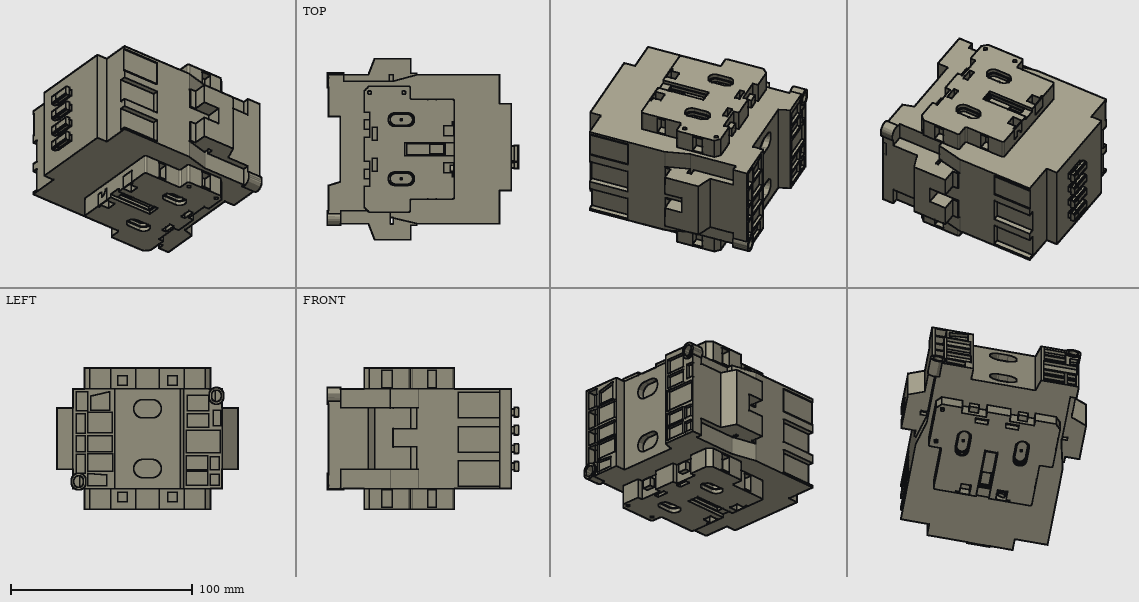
import cadquery as cq

MOUNT_X = 0.8
SHOULDER_X = 95.2
NOSE_X = 101.7
END_X = 105.9
HALF_WIDTH = 41.2
HALF_HEIGHT = 27.5
COVER_Z = 39.0
NOSE_Y = (-22.8, 25.2)

CHANNEL_X = 7.2
CHANNEL_HALF = 18.0
CHANNEL_SLOPED_Y = -20.0
RAIL_SLOT_LENGTH = 15.2
RAIL_SLOT_HEIGHT = 10.1
RAIL_SLOT_Z = 16.5
RAIL_SLOT_DEPTH = 4.0

WING_HALF_HEIGHT = 17.0
WING_Y = 50.0
WING_FOOT_X = 22.8
WING_START_X = 26.2
WING_END_X = 46.3
WING_STEP_X = 49.6
WING_STEP_Y = 42.0
WING_ROOT = 1.0
WING_NOTCH_X = 36.3
WING_NOTCH_Z = (-4.5, 5.5)
RAMP_END_X = 50.2
GUIDE_SLOT_END_X = 36.5
FRONT_GUIDE_X = 35.0
REAR_GUIDE_X = 34.2
REAR_GUIDE_DEPTH = 5.0
FRONT_ARM_START = 7.5
FRONT_ARM_Y = 34.0
FRONT_RAMP_Y = 37.6
REAR_ARM_START = 9.1
REAR_ARM_Y = 37.5

SLEEVE_Y = 38.0
SLEEVE_Z = 23.65
SLEEVE_SIZE = (9.3, 8.1)
SLEEVE_BORE_SIZE = (6.4, 5.2)
SLEEVE_BORE_DEPTH = 4.0
FRONT_BORE_OUTER_DEPTH = 2.5
REAR_BORE_OUTER_DEPTH = 8.0
BORE_BEND_Y = 37.5

COVER_START_X = 20.4
COVER_STEP_X = 45.9
COVER_END_X = 70.2
COVER_WIDE_HALF = 34.8
COVER_NARROW_HALF = 27.5
COVER_CHAMFER = 2.8
COVER_CORNER_RADIUS = 1.0
NOTCH_Y = (6.6, 20.4)
NOTCH_DEPTH = 3.1
TAB_Y = (11.1, 16.3)
TAB_Z = (29.6, 34.8)
SCREW_WINDOW_X = (25.0, 27.7)
SCREW_WINDOW_Y = (5.0, 12.1)
SCREW_WINDOW_DEPTH = 6.0
SIDE_WINDOW_Z = (28.2, 37.8)
SIDE_WINDOW_DEPTH = 5.0
WIDE_WINDOW_X = (30.3, 36.0)
NARROW_WINDOW_X = (55.7, 60.3)
PIN_HOLE_X = (23.5, 42.4)
PIN_HOLE_Y = 31.2
PIN_HOLE_DIAMETER = 2.0
PIN_HOLE_DEPTH = 3.0
DIMPLE_X = 41.0
DIMPLE_Y = 16.3
DIMPLE_SIZE = (14.5, 7.5)
DIMPLE_FLOOR_SIZE = (12.5, 6.0)
DIMPLE_LEDGE_DEPTH = 2.5
DIMPLE_FLOOR_DEPTH = 4.5
DIMPLE_HOLE_DIAMETER = 1.1
DIMPLE_HOLE_DEPTH = 6.5
TRACK_X = 42.9
TRACK_HALF = 3.6
TRACK_DEPTH = 2.0
SLIDER_X = (44.0, 65.2)
SLIDER_HALF = 3.1
SLIDER_DEPTH = 4.0
SLIDER_WELL_X = (56.8, 64.5)
SLIDER_WELL_HALF = 2.6
SLIDER_WELL_DEPTH = 6.0
TERMINAL_X = (64.4, 69.9)
TERMINAL_Y = (7.4, 13.0)
TERMINAL_DEPTH = 8.0
TERMINAL_GROOVE_X = 69.2
TERMINAL_GROOVE_Y = 15.2
CLAMP_X = (67.9, 69.9)
CLAMP_Y = -12.1
CLAMP_RADIUS = 3.3

SIDE_RECESS_X = 72.4
SIDE_RECESSES = [(11.6, 25.6, 0.6), (-7.4, 6.7, 3.2), (-26.3, -12.3, 3.2)]

PIN_LEVELS = [14.6, 4.7, -5.5, -15.3]
PIN_SHANK_HEIGHT = 3.8
PIN_HEAD_HEIGHT = 5.5
PIN_HEAD_LENGTH = 2.6
PIN_HEAD_CHAMFER = 0.7
PIN_HEAD_MARGIN = 0.3
PIN_SHANK_SPANS = [(-6.6, 1.8), (-10.4, -7.4)]

POCKET_DEPTH = 1.9
EDGE_POCKET_DEPTH = 4.8
EDGE_POCKETS = [(33.1, 39.3, 15.3, 26.0), (34.3, 39.3, 3.1, 13.8),
                (34.3, 39.3, -7.1, 1.7), (34.3, 39.3, -19.2, -8.5)]
SHALLOW_POCKETS = [(19.5, 32.9, 3.4, 14.6), (19.5, 32.9, -7.1, 1.7), (19.2, 32.9, -18.1, -8.2),
                   (-33.7, -21.8, 15.3, 24.0), (-33.7, -21.8, 6.2, 13.8),
                   (-40.5, -36.3, 7.0, 15.7), (-40.2, -21.5, -7.8, 4.7),
                   (-33.3, -21.5, -17.1, -9.4), (-33.3, -21.5, -25.8, -18.1),
                   (-39.7, -34.7, -17.1, -10.1), (-39.7, -34.7, -25.8, -19.6)]
SLANTED_POCKETS = [[(31.4, 23.5), (20.9, 25.9), (20.9, 15.6), (31.4, 15.6)],
                   [(32.9, -19.2), (22.5, -20.0), (22.5, -26.0), (32.9, -26.0)]]


def block(x_range, y_range, z_range):
    """Axis-aligned box from three (low, high) ranges."""
    size = [high - low for low, high in (x_range, y_range, z_range)]
    return cq.Workplane("XY").box(*size, centered=False).translate((x_range[0], y_range[0], z_range[0]))


def prism(points, z_range):
    """Polygon in XY extruded over a Z range."""
    outline = cq.Workplane("XY").workplane(offset=z_range[0]).polyline(points).close()
    return outline.extrude(z_range[1] - z_range[0])


def side_span(side, span):
    """A (low, high) range on the positive side, or its mirror image when side is -1."""
    return tuple(sorted((side * span[0], side * span[1])))


def end_plane(x):
    """Sketch plane facing +X whose local axes are Y and Z."""
    return cq.Workplane("YZ", origin=(x, 0, 0))


def sunk(depth):
    """Z range from a given depth up to the outer face of the upper cover."""
    return (COVER_Z - depth, COVER_Z)


def housing_body():
    outline = [
        (MOUNT_X, -HALF_WIDTH), (SHOULDER_X, -HALF_WIDTH),
        (SHOULDER_X, NOSE_Y[0]), (NOSE_X, NOSE_Y[0]),
        (NOSE_X, NOSE_Y[1]), (SHOULDER_X, NOSE_Y[1]),
        (SHOULDER_X, HALF_WIDTH), (MOUNT_X, HALF_WIDTH),
        (MOUNT_X, CHANNEL_HALF), (CHANNEL_X, CHANNEL_HALF),
        (CHANNEL_X, -CHANNEL_HALF), (MOUNT_X, CHANNEL_SLOPED_Y),
    ]
    return prism(outline, (-HALF_HEIGHT, HALF_HEIGHT))


def arm_recess(side, level, wall_points):
    """Set-back wall and ramp beside the wing; level is 1 above the wing and -1 below it."""
    outline = [(wall_points[0][0], HALF_WIDTH), *wall_points, (RAMP_END_X, HALF_WIDTH)]
    outline = [(x, side * y) for x, y in outline]
    return prism(outline, side_span(level, (WING_HALF_HEIGHT, HALF_HEIGHT)))


def arm_recesses():
    """The upper front recess has a step deeper than its ramp; the other three are plain."""
    upper_front = [
        (FRONT_ARM_START, FRONT_ARM_Y), (FRONT_GUIDE_X, FRONT_ARM_Y), (FRONT_GUIDE_X, FRONT_RAMP_Y)]
    lower_front = [(FRONT_ARM_START, FRONT_RAMP_Y), (FRONT_GUIDE_X, FRONT_RAMP_Y)]
    rear = [(REAR_ARM_START, REAR_ARM_Y), (GUIDE_SLOT_END_X, REAR_ARM_Y)]
    recesses = arm_recess(-1, 1, upper_front).union(arm_recess(-1, -1, lower_front))
    return recesses.union(arm_recess(1, 1, rear)).union(arm_recess(1, -1, rear))


def wing(side):
    root_y = HALF_WIDTH - WING_ROOT
    outline = [
        (WING_FOOT_X, HALF_WIDTH), (WING_START_X, WING_Y), (WING_END_X, WING_Y),
        (WING_END_X, WING_STEP_Y), (WING_STEP_X, WING_STEP_Y), (WING_STEP_X, root_y), (WING_FOOT_X, root_y),
    ]
    points = [(x, side * y) for x, y in outline]
    notch = block((WING_NOTCH_X, WING_STEP_X), side_span(side, (HALF_WIDTH, WING_Y)), WING_NOTCH_Z)
    return prism(points, (-WING_HALF_HEIGHT, WING_HALF_HEIGHT)).cut(notch)


def guide_slots():
    """Through slot beside the front wing and its shallow partner beside the rear one."""
    front = block((FRONT_GUIDE_X, GUIDE_SLOT_END_X), (-HALF_WIDTH, -FRONT_RAMP_Y),
                  (-WING_HALF_HEIGHT, WING_HALF_HEIGHT))
    rear_z = (WING_HALF_HEIGHT - REAR_GUIDE_DEPTH, WING_HALF_HEIGHT)
    rear = block((REAR_GUIDE_X, GUIDE_SLOT_END_X), (REAR_ARM_Y, HALF_WIDTH), rear_z)
    return front.union(rear).union(rear.mirror("XY"))


def rail_slots():
    centres = [(0, RAIL_SLOT_Z), (0, -RAIL_SLOT_Z)]
    return end_plane(CHANNEL_X).pushPoints(centres).slot2D(RAIL_SLOT_LENGTH, RAIL_SLOT_HEIGHT).extrude(
        RAIL_SLOT_DEPTH)


def mounting_face_pockets():
    pockets = cq.Workplane("XY")
    for outline in SLANTED_POCKETS:
        pockets = pockets.add(end_plane(MOUNT_X).polyline(outline).close().extrude(POCKET_DEPTH))
    for group, depth in ((EDGE_POCKETS, EDGE_POCKET_DEPTH), (SHALLOW_POCKETS, POCKET_DEPTH)):
        for y_low, y_high, z_low, z_high in group:
            pockets = pockets.add(block((MOUNT_X, MOUNT_X + depth), (y_low, y_high), (z_low, z_high)))
    return pockets.combine()


def side_recesses(side):
    recesses = cq.Workplane("XY")
    for z_low, z_high, depth in SIDE_RECESSES:
        y_range = side_span(side, (HALF_WIDTH - depth, HALF_WIDTH))
        recesses = recesses.add(block((SIDE_RECESS_X, SHOULDER_X), y_range, (z_low, z_high)))
    return recesses.combine()


def sleeve_prism(side, size, length):
    """Upright oblong at the upper corner on the -Y side, or the lower corner on the +Y side."""
    return end_plane(0).center(side * SLEEVE_Y, -side * SLEEVE_Z).slot2D(*size, angle=90).extrude(length)


def sleeve_corner(side, length):
    """Square housing corner that the rounded sleeve replaces."""
    y_range = side_span(side, (SLEEVE_Y, HALF_WIDTH))
    return block((0, length), y_range, side_span(-side, (SLEEVE_Z, HALF_HEIGHT)))


def sleeve_bore(side, outer_depth):
    """Oblong bore whose floor is flat towards the middle and slanted towards the side wall."""
    inner_y = SLEEVE_Y - SLEEVE_BORE_SIZE[1] / 2
    outer_y = SLEEVE_Y + SLEEVE_BORE_SIZE[1] / 2
    profile = [
        (0, inner_y), (SLEEVE_BORE_DEPTH, inner_y), (SLEEVE_BORE_DEPTH, BORE_BEND_Y),
        (outer_depth, outer_y), (0, outer_y),
    ]
    floor_shape = prism([(x, side * y) for x, y in profile], (-HALF_HEIGHT, HALF_HEIGHT))
    return sleeve_prism(side, SLEEVE_BORE_SIZE, max(SLEEVE_BORE_DEPTH, outer_depth)).intersect(floor_shape)


def cover_plate():
    outline = [
        (COVER_START_X, -COVER_WIDE_HALF), (COVER_STEP_X, -COVER_WIDE_HALF),
        (COVER_STEP_X, -COVER_NARROW_HALF), (COVER_END_X, -COVER_NARROW_HALF),
        (COVER_END_X, COVER_NARROW_HALF), (COVER_STEP_X, COVER_NARROW_HALF),
        (COVER_STEP_X, COVER_WIDE_HALF), (COVER_START_X, COVER_WIDE_HALF),
    ]
    plate = prism(outline, (HALF_HEIGHT, COVER_Z))
    plate = plate.edges("|Z and <X").chamfer(COVER_CHAMFER)
    step_end_half = cq.selectors.BoxSelector((DIMPLE_X, -HALF_WIDTH, 0), (END_X, HALF_WIDTH, COVER_Z))
    return plate.edges("|Z").edges(step_end_half).fillet(COVER_CORNER_RADIUS)


def dimple(side):
    """Stepped oblong recess with a small centre hole."""
    top = cq.Workplane("XY", origin=(DIMPLE_X, side * DIMPLE_Y, COVER_Z))
    ledge = top.slot2D(*DIMPLE_SIZE).extrude(-DIMPLE_LEDGE_DEPTH)
    floor = top.slot2D(*DIMPLE_FLOOR_SIZE).extrude(-DIMPLE_FLOOR_DEPTH)
    hole = top.circle(DIMPLE_HOLE_DIAMETER / 2).extrude(-DIMPLE_HOLE_DEPTH)
    return ledge.union(floor).union(hole)


def slider_track():
    """Central track open at the +X end, with two nested wells."""
    track = block((TRACK_X, COVER_END_X), (-TRACK_HALF, TRACK_HALF), sunk(TRACK_DEPTH))
    slider = block(SLIDER_X, (-SLIDER_HALF, SLIDER_HALF), sunk(SLIDER_DEPTH))
    well = block(SLIDER_WELL_X, (-SLIDER_WELL_HALF, SLIDER_WELL_HALF), sunk(SLIDER_WELL_DEPTH))
    return track.union(slider).union(well)


def side_windows(side):
    """Wire openings in the two steps of one long side."""
    windows = cq.Workplane("XY")
    for x_range, face_y in ((WIDE_WINDOW_X, COVER_WIDE_HALF), (NARROW_WINDOW_X, COVER_NARROW_HALF)):
        y_range = side_span(side, (face_y - SIDE_WINDOW_DEPTH, face_y))
        windows = windows.add(block(x_range, y_range, SIDE_WINDOW_Z))
    return windows.combine()


def clamp_jaw():
    """Quarter-round jaw standing on the floor of the -Y terminal pocket."""
    floor_z = COVER_Z - TERMINAL_DEPTH
    roller = end_plane(CLAMP_X[0]).center(CLAMP_Y, floor_z).circle(CLAMP_RADIUS)
    roller = roller.extrude(CLAMP_X[1] - CLAMP_X[0])
    return roller.intersect(block(CLAMP_X, (CLAMP_Y, CLAMP_Y + CLAMP_RADIUS), (floor_z, COVER_Z)))


def contact_cover():
    cover = cover_plate().cut(slider_track())
    notch_x = (COVER_START_X, COVER_START_X + NOTCH_DEPTH)
    for side in (1, -1):
        cover = cover.cut(block(notch_x, side_span(side, NOTCH_Y), (HALF_HEIGHT, COVER_Z)))
        cover = cover.union(block(notch_x, side_span(side, TAB_Y), TAB_Z))
        cover = cover.cut(block(SCREW_WINDOW_X, side_span(side, SCREW_WINDOW_Y), sunk(SCREW_WINDOW_DEPTH)))
        cover = cover.cut(block(TERMINAL_X, side_span(side, TERMINAL_Y), sunk(TERMINAL_DEPTH)))
        groove_y = side_span(side, (TERMINAL_Y[1], TERMINAL_GROOVE_Y))
        cover = cover.cut(block((TERMINAL_GROOVE_X, TERMINAL_X[1]), groove_y, sunk(TERMINAL_DEPTH)))
        cover = cover.cut(dimple(side)).cut(side_windows(side))
    cover = cover.union(clamp_jaw())
    pin_holes = cq.Workplane("XY", origin=(0, PIN_HOLE_Y, COVER_Z)).pushPoints([(x, 0) for x in PIN_HOLE_X])
    return cover.cut(pin_holes.circle(PIN_HOLE_DIAMETER / 2).extrude(-PIN_HOLE_DEPTH))


def terminal_pin(y_range, level):
    """Flat shank with a chamfered head, reaching out of the nose."""
    head_x = END_X - PIN_HEAD_LENGTH
    shank_z = (level - PIN_SHANK_HEIGHT / 2, level + PIN_SHANK_HEIGHT / 2)
    shank = block((NOSE_X, head_x), y_range, shank_z)
    head_y = (y_range[0] - PIN_HEAD_MARGIN, y_range[1] + PIN_HEAD_MARGIN)
    head_z = (level - PIN_HEAD_HEIGHT / 2, level + PIN_HEAD_HEIGHT / 2)
    head = block((head_x, END_X), head_y, head_z).edges(">X and |Y").chamfer(PIN_HEAD_CHAMFER)
    return shank.union(head)


part = housing_body()
part = part.cut(arm_recesses())
for wing_side in (-1, 1):
    part = part.union(wing(wing_side)).cut(side_recesses(wing_side))
part = part.cut(guide_slots()).cut(rail_slots()).cut(mounting_face_pockets())

for sleeve_side, sleeve_length, bore_depth in (
        (-1, FRONT_ARM_START, FRONT_BORE_OUTER_DEPTH), (1, REAR_ARM_START, REAR_BORE_OUTER_DEPTH)):
    part = part.cut(sleeve_corner(sleeve_side, sleeve_length))
    part = part.union(sleeve_prism(sleeve_side, SLEEVE_SIZE, sleeve_length))
    part = part.cut(sleeve_bore(sleeve_side, bore_depth))

upper_cover = contact_cover()
part = part.union(upper_cover).union(upper_cover.mirror("XY"))

for pin_level in PIN_LEVELS:
    for shank_span in PIN_SHANK_SPANS:
        part = part.union(terminal_pin(shank_span, pin_level))

result = part